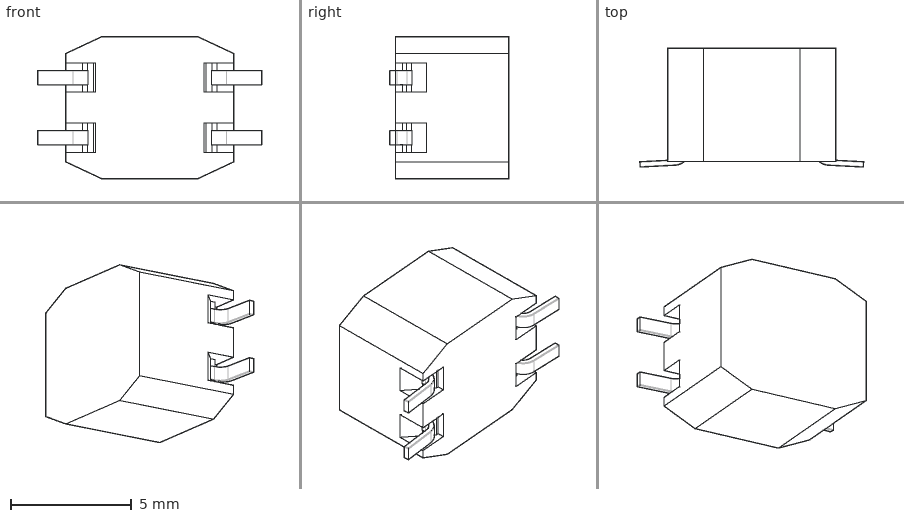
import cadquery as cq
import math

BODY_WIDTH = 6.975
BODY_HEIGHT = 5.9
BODY_DEPTH = 4.71
CORNER_RUN = 1.49
CORNER_RISE = 0.7

POCKET_HEIGHT = 1.21
LEAD_LEVEL = 1.25
POCKET_INNER_X = 2.24
STEP_X = 2.34
SEAT_INNER_X = 2.58
SEAT_OUTER_X = 2.79
STEP_DEPTH = 0.29
SEAT_DEPTH = 0.46
RAMP_INNER_DEPTH = 0.68
RAMP_OUTER_DEPTH = 1.29

LEAD_SPAN = 9.3
LEG_X = 2.57
LEAD_WIDTH = 0.61
LEAD_THICKNESS = 0.23
LEAD_EDGE_RADIUS = 0.03
BEND_RADIUS = 0.65
LEAD_SLOPE = math.radians(3.0)
TIP_REACH = 0.23
ROOT_DEPTH = 0.84


def make_body():
    """Block with four sloped corners, extruded from the front face to the back."""
    half_width = BODY_WIDTH / 2
    half_height = BODY_HEIGHT / 2
    octagon = [
        (half_width, half_height - CORNER_RISE),
        (half_width - CORNER_RUN, half_height),
    ]
    octagon += [(-x, z) for x, z in reversed(octagon)]
    octagon += [(-x, -z) for x, z in octagon]
    return cq.Workplane("XZ").polyline(octagon).close().extrude(-BODY_DEPTH)


def make_pocket():
    """Cutter for the pocket on the +X side, centred on Z = 0."""
    outer_x = BODY_WIDTH / 2
    return (
        cq.Workplane("XY")
        .workplane(offset=-POCKET_HEIGHT / 2)
        .polyline([
            (outer_x, 0),
            (outer_x, RAMP_OUTER_DEPTH),
            (SEAT_OUTER_X, RAMP_INNER_DEPTH),
            (SEAT_OUTER_X, SEAT_DEPTH),
            (SEAT_INNER_X, SEAT_DEPTH),
            (STEP_X, STEP_DEPTH),
            (POCKET_INNER_X, STEP_DEPTH),
            (POCKET_INNER_X, 0),
        ])
        .close()
        .extrude(POCKET_HEIGHT)
    )


def make_lead():
    """Bent lead on the +X side, centred on Z = 0, with rounded long edges."""
    tip_x = LEAD_SPAN / 2
    inner_radius = BEND_RADIUS - LEAD_THICKNESS
    slope_sin = math.sin(LEAD_SLOPE)
    slope_cos = math.cos(LEAD_SLOPE)

    tip_low = (tip_x - LEAD_THICKNESS * slope_sin, -TIP_REACH)
    tip_high = (tip_x, -TIP_REACH + LEAD_THICKNESS * slope_cos)

    center_x = LEG_X + BEND_RADIUS
    bend_end_x = center_x - BEND_RADIUS * slope_sin
    bend_end_y = -TIP_REACH + (tip_low[0] - bend_end_x) * math.tan(LEAD_SLOPE)
    center_y = bend_end_y + BEND_RADIUS * slope_cos

    def on_bend(radius, angle):
        """Point on the bend; angle is measured from the sloped end."""
        direction = angle + LEAD_SLOPE
        return (center_x - radius * math.sin(direction), center_y - radius * math.cos(direction))

    bend_angle = math.pi / 2 - LEAD_SLOPE
    return (
        cq.Workplane("XY")
        .workplane(offset=-LEAD_WIDTH / 2)
        .moveTo(LEG_X, ROOT_DEPTH)
        .lineTo(LEG_X, center_y)
        .threePointArc(on_bend(BEND_RADIUS, bend_angle / 2), on_bend(BEND_RADIUS, 0))
        .lineTo(*tip_low)
        .lineTo(*tip_high)
        .lineTo(*on_bend(inner_radius, 0))
        .threePointArc(on_bend(inner_radius, bend_angle / 2), on_bend(inner_radius, bend_angle))
        .lineTo(LEG_X + LEAD_THICKNESS, ROOT_DEPTH)
        .close()
        .extrude(LEAD_WIDTH)
        .faces("<Z or >Z")
        .edges()
        .fillet(LEAD_EDGE_RADIUS)
    )


def at_each_corner(feature):
    """Copies of a +X feature at both lead rows on both sides."""
    sides = [feature, feature.mirror("YZ")]
    return [side.translate((0, 0, z)) for side in sides for z in (-LEAD_LEVEL, LEAD_LEVEL)]


result = make_body()
for pocket in at_each_corner(make_pocket()):
    result = result.cut(pocket)
for lead in at_each_corner(make_lead()):
    result = result.union(lead)